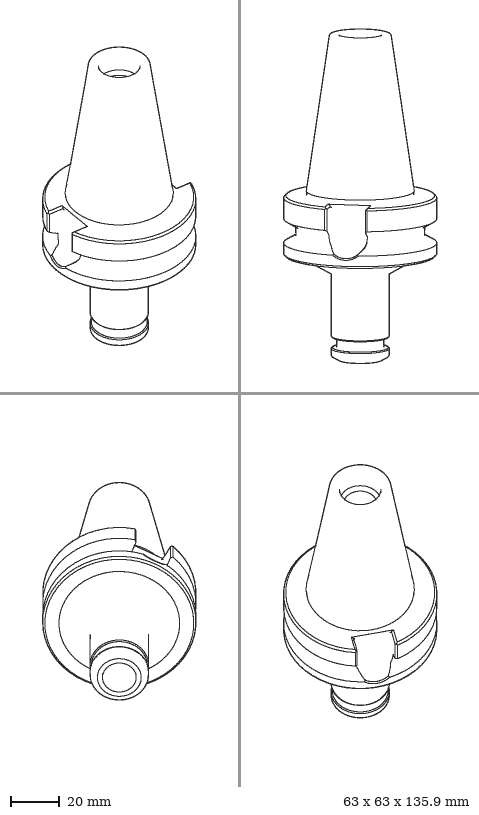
import cadquery as cq
import math


gauge_radius = 44.45 / 2
taper_length = 65.4
taper_slope = 7 / 24 / 2
taper_tip_radius = gauge_radius - taper_length * taper_slope
taper_tip_fillet = 1.0
relief_radius = 22.0
relief_cone_height = 1.1
relief_fillet = 0.5

flange_radius = 63 / 2
flange_top = -2.0
flange_bottom = -27.0
flange_chamfer = 0.9
groove_radius = 53 / 2
groove_upper_edge = -11.6
groove_lower_edge = -21.7
groove_fillet = 0.5
groove_angle = math.radians(30)
groove_cone_height = (flange_radius - groove_radius) * math.tan(groove_angle)

stem_radius = 24 / 2
stem_bottom = -61.0
stem_chamfer = 0.5
shoulder_angle = math.radians(30)
shoulder_top_radius = 24.8
shoulder_fillet = 1.0
shoulder_bottom = flange_bottom - (shoulder_top_radius - stem_radius) * math.tan(shoulder_angle)
neck_radius = 19.5 / 2
neck_fillet = 0.2
head_top = -65.3
head_bottom = -70.5
head_lead_width = 3.0
head_lead_angle = math.radians(30)
head_lead_height = head_lead_width * math.tan(head_lead_angle)
head_lead_fillet = 1.0

pilot_radius = 17 / 2
pilot_depth = 9.0
pilot_fillet = 1.0
core_radius = 13.84 / 2
core_lead_angle = math.radians(45)
core_lead_height = (pilot_radius - core_radius) * math.tan(core_lead_angle)

slot_half_width = 8.0
slot_floor = 22.6
slot_arc_center = -15.0
slot_floor_fillet = 0.5
slot_wall_chamfer = 0.9
slot_end_chamfer = 0.6
cut_clearance = 5.0

edge_tolerance = 1e-3


def fillet_circle(body, radius, height, fillet_radius):
    """Round the circular edge of the given radius at the given height."""
    box = cq.selectors.BoxSelector(
        (-radius - edge_tolerance, -radius - edge_tolerance, height - edge_tolerance),
        (radius + edge_tolerance, radius + edge_tolerance, height + edge_tolerance),
        boundingbox=True,
    )
    return body.edges(box).fillet(fillet_radius)


def make_body():
    """Revolve the complete outer profile, without the bore and the slots."""
    outline = [
        (0, taper_length),
        (taper_tip_radius, taper_length),
        (gauge_radius, 0),
        (relief_radius, -relief_cone_height),
        (relief_radius, flange_top),
        (flange_radius - flange_chamfer, flange_top),
        (flange_radius, flange_top - flange_chamfer),
        (flange_radius, groove_upper_edge),
        (groove_radius, groove_upper_edge - groove_cone_height),
        (groove_radius, groove_lower_edge + groove_cone_height),
        (flange_radius, groove_lower_edge),
        (flange_radius, flange_bottom + flange_chamfer),
        (flange_radius - flange_chamfer, flange_bottom),
        (shoulder_top_radius, flange_bottom),
        (stem_radius, shoulder_bottom),
        (stem_radius, stem_bottom + stem_chamfer),
        (stem_radius - stem_chamfer, stem_bottom),
        (neck_radius, stem_bottom),
        (neck_radius, head_top),
        (stem_radius - stem_chamfer, head_top),
        (stem_radius, head_top - stem_chamfer),
        (stem_radius, head_bottom + head_lead_height),
        (stem_radius - head_lead_width, head_bottom),
        (0, head_bottom),
    ]
    body = cq.Workplane("XZ").polyline(outline).close().revolve(360, (0, 0, 0), (0, 1, 0))

    rounded_edges = [
        (taper_tip_radius, taper_length, taper_tip_fillet),
        (relief_radius, flange_top, relief_fillet),
        (groove_radius, groove_upper_edge - groove_cone_height, groove_fillet),
        (groove_radius, groove_lower_edge + groove_cone_height, groove_fillet),
        (stem_radius, shoulder_bottom, shoulder_fillet),
        (neck_radius, stem_bottom, neck_fillet),
        (neck_radius, head_top, neck_fillet),
        (stem_radius, head_bottom + head_lead_height, head_lead_fillet),
    ]
    for radius, height, fillet_radius in rounded_edges:
        body = fillet_circle(body, radius, height, fillet_radius)
    return body


def make_bore():
    """Stepped through bore as a solid of revolution."""
    pilot_bottom = taper_length - pilot_depth
    outline = [
        (0, taper_length),
        (pilot_radius, taper_length),
        (pilot_radius, pilot_bottom),
        (core_radius, pilot_bottom - core_lead_height),
        (core_radius, head_bottom),
        (0, head_bottom),
    ]
    return cq.Workplane("XZ").polyline(outline).close().revolve(360, (0, 0, 0), (0, 1, 0))


def make_slot():
    """Round-ended slot on the -Y side, with a filleted floor and flared top edges."""
    depth = flange_radius - slot_floor + cut_clearance
    plane = cq.Workplane("XZ", origin=(0, -slot_floor, 0))
    channel = (
        plane.moveTo(-slot_half_width, flange_top + cut_clearance)
        .lineTo(-slot_half_width, slot_arc_center)
        .threePointArc((0, slot_arc_center - slot_half_width), (slot_half_width, slot_arc_center))
        .lineTo(slot_half_width, flange_top + cut_clearance)
        .close()
        .extrude(depth)
        .faces(">Y")
        .edges("not >Z")
        .fillet(slot_floor_fillet)
    )
    flare_half_width = slot_half_width + slot_wall_chamfer
    flare = (
        plane.moveTo(0, flange_top - flare_half_width)
        .lineTo(flare_half_width, flange_top)
        .lineTo(-flare_half_width, flange_top)
        .close()
        .extrude(depth)
    )
    return channel, flare


def slot_mouth_edges(body, bottom, top):
    """Edges between two heights where the slots break through the outer cylinder of the flange."""
    mouth_edges = []
    for edge in body.edges().vals():
        middle = edge.positionAt(0.5)
        on_rim = abs(math.hypot(middle.x, middle.y) - flange_radius) < edge_tolerance
        leaves_level = edge.BoundingBox().zlen > edge_tolerance
        at_slot = abs(middle.y) > slot_floor
        if on_rim and leaves_level and at_slot and bottom < middle.z < top:
            mouth_edges.append(edge)
    return mouth_edges


body = make_body().cut(make_bore())
body = fillet_circle(body, pilot_radius, taper_length, pilot_fillet)
for slot_part in make_slot():
    body = body.cut(slot_part).cut(slot_part.rotate((0, 0, 0), (0, 0, 1), 180))
wall_edges = slot_mouth_edges(body, groove_upper_edge, flange_top)
body = body.newObject(wall_edges).chamfer(slot_wall_chamfer)
end_edges = slot_mouth_edges(body, flange_bottom, groove_lower_edge)
result = body.newObject(end_edges).chamfer(slot_end_chamfer)